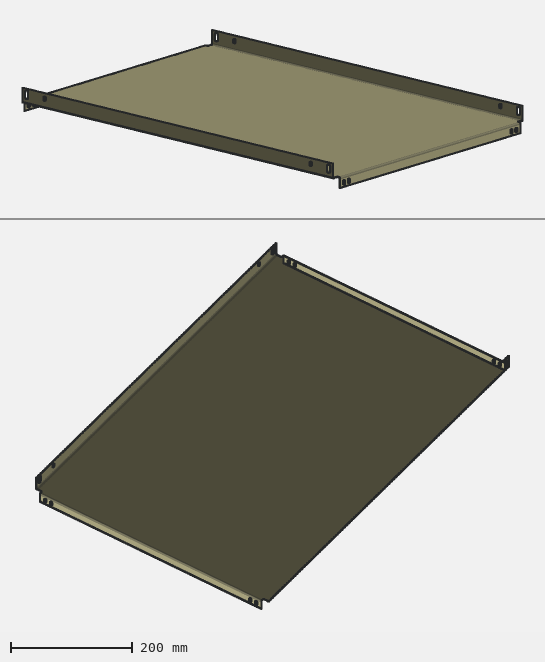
import cadquery as cq

length = 698.0
width = 469.0
height = 43.0

thickness = 1.55
bend_radius = 2.5
plate_top = 19.0
plate_bottom = plate_top - thickness

long_flange_length = 686.0
end_flange_length = 445.0
corner_relief_inset = 1.0
relief_length = long_flange_length - 2 * corner_relief_inset
relief_width = width - 2 * bend_radius

large_slot_width = 7.0
large_slot_height = 15.0
small_slot_width = 5.0
small_slot_height = 8.0
large_slot_x = 333.5
small_slot_x = 294.0
large_slot_z = 33.0
small_slot_z = 33.5
end_slot_positions = (200.0, 212.0)
end_flange_slot_z = 8.0


def channel(span, wall_bottom, wall_top, bent_edges, depth):
    """Folded U section spanning X, with rounded outer and inner bends along Y."""
    wall_height = wall_top - wall_bottom
    outer = (
        cq.Workplane("XY")
        .box(span, depth, wall_height, centered=(True, True, False))
        .edges(f"|Y and {bent_edges}")
        .fillet(bend_radius)
    )
    cavity_shift = thickness if bent_edges == "<Z" else -thickness
    cavity = (
        cq.Workplane("XY")
        .box(span - 2 * thickness, depth, wall_height, centered=(True, True, False))
        .edges(f"|Y and {bent_edges}")
        .fillet(bend_radius - thickness)
        .translate((0, 0, cavity_shift))
    )
    return outer.cut(cavity).translate((0, 0, wall_bottom))


def slots(plane, positions, slot_z, slot_width, slot_height, cut_length):
    """Vertical round-ended slots, mirrored about the centre and through both flanges."""
    points = [(side * place, slot_z) for place in positions for side in (-1, 1)]
    return (
        cq.Workplane(plane)
        .pushPoints(points)
        .slot2D(slot_height, slot_width, 90)
        .extrude(cut_length / 2, both=True)
    )


long_channel = channel(width, plate_bottom, height, "<Z", long_flange_length)
long_channel = long_channel.rotate((0, 0, 0), (0, 0, 1), 90)

end_channel = channel(length, 0, plate_top, ">Z", end_flange_length)

relief_cutters = (
    cq.Workplane("XY", origin=(0, 0, plate_bottom))
    .rect(length, relief_width)
    .rect(relief_length, relief_width)
    .extrude(thickness)
)

result = long_channel.cut(relief_cutters).union(end_channel)
result = result.cut(
    slots("XZ", [large_slot_x], large_slot_z, large_slot_width, large_slot_height, width)
)
result = result.cut(
    slots("XZ", [small_slot_x], small_slot_z, small_slot_width, small_slot_height, width)
)
result = result.cut(
    slots("YZ", end_slot_positions, end_flange_slot_z, small_slot_width, small_slot_height, length)
)